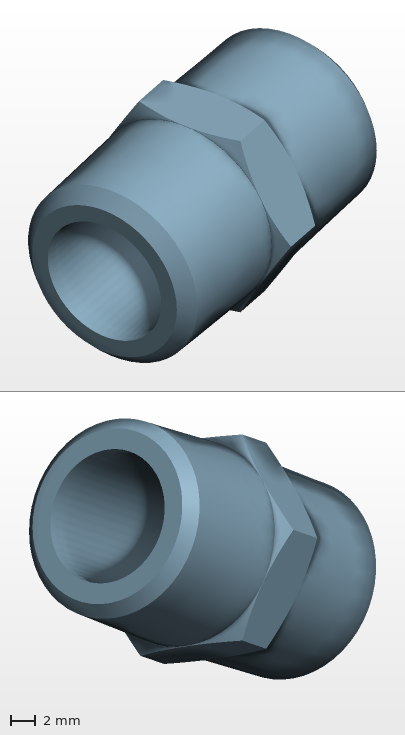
import cadquery as cq
import math

hex_sides = 6
across_flats = 17.0
hex_width = 5.0
hex_chamfer_angle = 30.0

end_length = 11.5
root_radius = 8.475
taper_half_angle = 1.5
front_chamfer = 1.2
back_chamfer = 1.0

bore_diameter = 11.0

hex_half_width = hex_width / 2
total_length = hex_width + 2 * end_length
across_corners = across_flats / math.cos(math.radians(180 / hex_sides))


def revolve_about_y(points):
    """Revolve a closed (radius, y) outline a full turn about the Y axis."""
    outline = cq.Workplane("XY").polyline(points).close()
    return outline.revolve(360, (0, 0, 0), (0, 1, 0))


def hexagon():
    """Hexagonal collar with both edges turned down by a shallow cone."""
    prism = (
        cq.Workplane("XZ")
        .polygon(hex_sides, across_corners)
        .extrude(hex_half_width, both=True)
    )
    flat_radius = across_flats / 2
    corner_radius = across_corners / 2
    chamfer_depth = (corner_radius - flat_radius) * math.tan(math.radians(hex_chamfer_angle))
    chamfer_start = hex_half_width - chamfer_depth
    turned_blank = revolve_about_y([
        (0, -hex_half_width),
        (flat_radius, -hex_half_width),
        (corner_radius, -chamfer_start),
        (corner_radius, chamfer_start),
        (flat_radius, hex_half_width),
        (0, hex_half_width),
    ])
    return prism.intersect(turned_blank)


def tapered_end(side, chamfer):
    """Hexagon side to end face; side is -1 for the -Y end, +1 for the +Y end.

    Inside the hexagon the outline narrows to the bore, so the blank stays within the flats.
    """
    face_y = total_length / 2
    chamfer_y = face_y - chamfer
    taper_length = end_length - chamfer
    tip_radius = root_radius - taper_length * math.tan(math.radians(taper_half_angle))
    return revolve_about_y([
        (0, 0),
        (bore_diameter / 2, 0),
        (root_radius, side * hex_half_width),
        (tip_radius, side * chamfer_y),
        (tip_radius - chamfer, side * face_y),
        (0, side * face_y),
    ])


def bore():
    """Straight bore along the full length."""
    return (
        cq.Workplane("XZ")
        .circle(bore_diameter / 2)
        .extrude(total_length / 2, both=True)
    )


front_end = tapered_end(-1, front_chamfer)
back_end = tapered_end(1, back_chamfer)
result = hexagon().union(front_end).union(back_end).cut(bore())